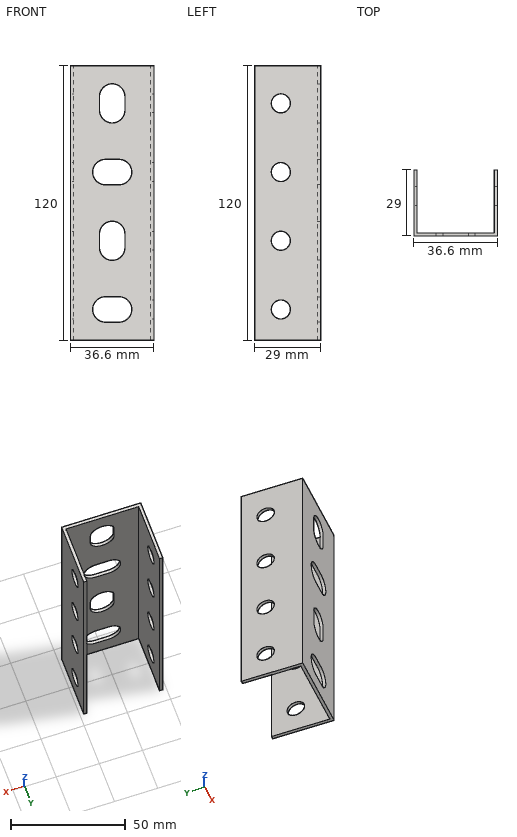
import cadquery as cq

WIDTH = 36.64
DEPTH = 29.0
LENGTH = 120.0
WALL = 1.5

PITCH = 30.0
FIRST_ROW_Z = 13.5
ROW_COUNT = 4

SLOT_LENGTH = 17.0
SLOT_WIDTH = 11.0
SLOT_ANGLE_ACROSS = 0
SLOT_ANGLE_ALONG = 90

HOLE_DIAMETER = 8.2
HOLE_FROM_FREE_EDGE = 11.5
HOLE_Y = DEPTH - HOLE_FROM_FREE_EDGE

ROW_HEIGHTS = [FIRST_ROW_Z + row * PITCH for row in range(ROW_COUNT)]


def make_channel():
    """U channel: web outer face at Y = 0, flanges toward +Y, base at Z = 0."""
    outer = cq.Workplane("XY").box(WIDTH, DEPTH, LENGTH, centered=(True, False, False))
    inside = (
        cq.Workplane("XY")
        .box(WIDTH - 2 * WALL, DEPTH - WALL, LENGTH, centered=(True, False, False))
        .translate((0, WALL, 0))
    )
    return outer.cut(inside)


def make_web_slot(height, angle):
    """Cutter for one obround slot through the web."""
    return (
        cq.Workplane("XZ")
        .center(0, height)
        .slot2D(SLOT_LENGTH, SLOT_WIDTH, angle)
        .extrude(-WALL)
    )


def make_flange_holes():
    """Cutters for the row of round holes passing through both flanges."""
    return (
        cq.Workplane("YZ")
        .pushPoints([(HOLE_Y, height) for height in ROW_HEIGHTS])
        .circle(HOLE_DIAMETER / 2)
        .extrude(WIDTH / 2, both=True)
    )


result = make_channel()
for row, row_height in enumerate(ROW_HEIGHTS):
    slot_angle = SLOT_ANGLE_ACROSS if row % 2 == 0 else SLOT_ANGLE_ALONG
    result = result.cut(make_web_slot(row_height, slot_angle))
result = result.cut(make_flange_holes())